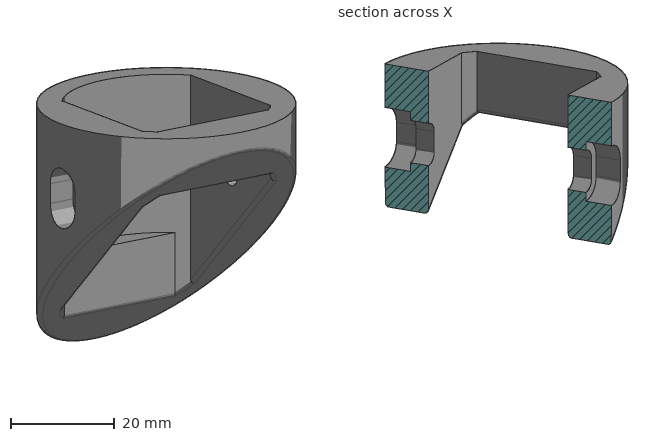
import cadquery as cq

outer_diameter = 50.0
overall_height = 52.85
edge_radius = 0.8

bore_diameter = 40.4
square_side = 30.65
floor_depth = 31.7

slot_width = 4.4
slot_length = 8.45
recess_width = 8.05
recess_length = 12.0
slot_depth_below_top = 14.9
shoulder_wall = 4.0

outer_radius = outer_diameter / 2
bore_radius = bore_diameter / 2
half_square = square_side / 2

tip_loss = edge_radius * 2 ** 0.5
sharp_height = overall_height + tip_loss
short_side_height = sharp_height - outer_diameter


def mitred_body():
    """Cylinder cut at 45 degrees underneath."""
    profile = (
        cq.Workplane("XZ")
        .moveTo(-outer_radius, 0)
        .lineTo(outer_radius, 0)
        .lineTo(outer_radius, -short_side_height)
        .lineTo(-outer_radius, -sharp_height)
        .close()
        .extrude(outer_radius, both=True)
    )
    cylinder = cq.Workplane("XY").circle(outer_radius).extrude(-sharp_height)
    return cylinder.intersect(profile)


def bore():
    """Square passage with rounded corners, widened on the -X side down to the floor."""
    passage = (
        cq.Workplane("XY")
        .rect(square_side, square_side)
        .extrude(-sharp_height)
        .intersect(cq.Workplane("XY").circle(bore_radius).extrude(-sharp_height))
    )
    pocket = (
        cq.Workplane("XY")
        .center((half_square - bore_radius) / 2, 0)
        .rect(half_square + bore_radius, square_side)
        .extrude(-floor_depth)
        .intersect(cq.Workplane("XY").circle(bore_radius).extrude(-floor_depth))
    )
    return passage.union(pocket)


def upright_slot(width, length, start):
    """Slot lying along Z, running from Y = start outwards through the +Y wall."""
    return (
        cq.Workplane("XZ", origin=(0, start, -slot_depth_below_top))
        .slot2D(length, width, 90)
        .extrude(start - outer_radius)
    )


def screw_slot():
    """Through slot in the +Y wall with its wider outer recess."""
    through = upright_slot(slot_width, slot_length, 0)
    recess = upright_slot(recess_width, recess_length, half_square + shoulder_wall)
    return through.union(recess)


slot = screw_slot()
sleeve = mitred_body().cut(bore())
sleeve = sleeve.faces(">(1, 0, -1)").edges().fillet(edge_radius)
result = sleeve.cut(slot).cut(slot.mirror("XZ"))